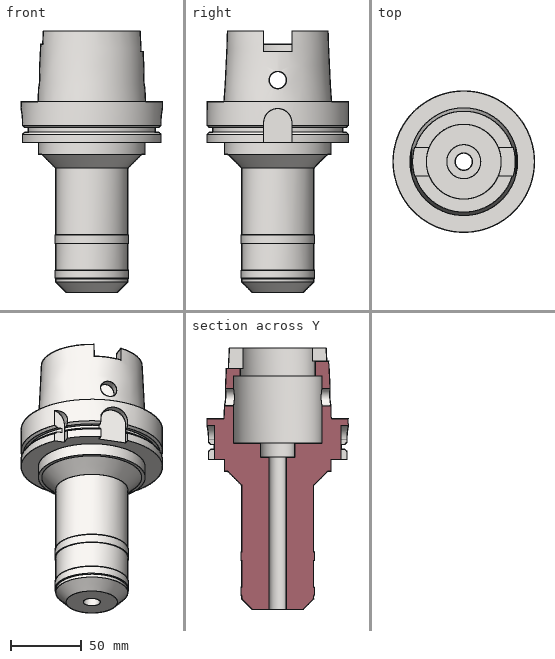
import cadquery as cq

TOTAL_HEIGHT = 185.0
FLANGE_TOP = 135.0
FLANGE_BOTTOM = 106.0
COLLAR_BOTTOM = 97.7

TAPER_TOP_RADIUS = 35.7
TAPER_BASE_RADIUS = 38.1
SHALLOW_SLOT_DEPTH = 9.5
DEEP_SLOT_DEPTH = 14.5
KEY_WIDTH = 20.0

FLANGE_RADIUS = 50.05
GROOVE_RADIUS = 46.0
GROOVE_TOP = FLANGE_TOP - 16.8
GROOVE_BOTTOM = FLANGE_TOP - 23.3
GROOVE_FLAT_TOP = FLANGE_TOP - 18.5
GROOVE_FLAT_BOTTOM = FLANGE_TOP - 21.6

KEYWAY_ARC_RADIUS = KEY_WIDTH / 2
KEYWAY_TOP = FLANGE_TOP - 5.0
KEYWAY_FLOOR_X = 44.8
NOTCH_FLOOR_X = 31.8
NOTCH_INNER_Y = 31.5

COLLAR_RADIUS = 37.7
SHOULDER_RADIUS = 35.3
BODY_RADIUS = 25.5
RING_HEIGHT = 0.5
RING_SPANS = [(34.6, 41.0, False), (9.6, 16.1, True)]
NOSE_HEIGHT = 7.4
NOSE_RADIUS = BODY_RADIUS - NOSE_HEIGHT

SOCKET_RADIUS = 26.5
SOCKET_LIP_DEPTH = 20.0
UNDERCUT_RADIUS = 31.3
SOCKET_FLOOR = 117.7
COUNTERBORE_RADIUS = 12.0
COUNTERBORE_DEPTH = 10.0
THROUGH_RADIUS = 6.01
CROSS_HOLE_Z = 150.2


def revolve(points):
    """Revolve a closed (radius, height) outline about Z."""
    return cq.Workplane("XZ").polyline(points).close().revolve(360, (0, 0, 0), (0, 1, 0))


def make_body():
    shoulder_bottom = COLLAR_BOTTOM - (SHOULDER_RADIUS - BODY_RADIUS)
    return revolve([
        (0, 0),
        (NOSE_RADIUS, 0),
        (BODY_RADIUS, NOSE_HEIGHT),
        (BODY_RADIUS, shoulder_bottom),
        (SHOULDER_RADIUS, COLLAR_BOTTOM),
        (COLLAR_RADIUS, COLLAR_BOTTOM),
        (COLLAR_RADIUS, FLANGE_BOTTOM),
        (FLANGE_RADIUS, FLANGE_BOTTOM),
        (FLANGE_RADIUS, GROOVE_BOTTOM),
        (FLANGE_RADIUS - (GROOVE_FLAT_BOTTOM - GROOVE_BOTTOM), GROOVE_FLAT_BOTTOM),
        (GROOVE_RADIUS, GROOVE_FLAT_BOTTOM),
        (GROOVE_RADIUS, GROOVE_FLAT_TOP),
        (FLANGE_RADIUS - (GROOVE_TOP - GROOVE_FLAT_TOP), GROOVE_FLAT_TOP),
        (FLANGE_RADIUS, GROOVE_TOP),
        (FLANGE_RADIUS, FLANGE_TOP),
        (TAPER_BASE_RADIUS, FLANGE_TOP),
        (TAPER_TOP_RADIUS, TOTAL_HEIGHT),
        (0, TOTAL_HEIGHT),
    ])


def make_guide_ring(bottom, top, chamfer_bottom):
    """Slightly raised band with a 45 degree upper edge."""
    outer = BODY_RADIUS + RING_HEIGHT
    lower_edge = bottom + RING_HEIGHT if chamfer_bottom else bottom
    points = [(0, bottom), (BODY_RADIUS, bottom)]
    points += [(outer, lower_edge), (outer, top - RING_HEIGHT)]
    points += [(BODY_RADIUS, top), (0, top)]
    return revolve(points)


def make_bores():
    lip_z = TOTAL_HEIGHT - SOCKET_LIP_DEPTH
    counterbore_floor = SOCKET_FLOOR - COUNTERBORE_DEPTH
    return revolve([
        (0, 0),
        (THROUGH_RADIUS, 0),
        (THROUGH_RADIUS, counterbore_floor),
        (COUNTERBORE_RADIUS, counterbore_floor),
        (COUNTERBORE_RADIUS, SOCKET_FLOOR),
        (UNDERCUT_RADIUS, SOCKET_FLOOR),
        (UNDERCUT_RADIUS, lip_z),
        (SOCKET_RADIUS, lip_z),
        (SOCKET_RADIUS, TOTAL_HEIGHT),
        (0, TOTAL_HEIGHT),
    ])


def make_keyway(center_y, floor_x, side):
    """Round-topped slot cut in from the -X (side = -1) or +X (side = 1) edge of the flange."""
    arc_z = KEYWAY_TOP - KEYWAY_ARC_RADIUS
    return (
        cq.Workplane("YZ", origin=(side * floor_x, center_y, 0))
        .moveTo(-KEYWAY_ARC_RADIUS, FLANGE_BOTTOM)
        .lineTo(KEYWAY_ARC_RADIUS, FLANGE_BOTTOM)
        .lineTo(KEYWAY_ARC_RADIUS, arc_z)
        .threePointArc((0, KEYWAY_TOP), (-KEYWAY_ARC_RADIUS, arc_z))
        .close()
        .extrude(side * FLANGE_RADIUS)
    )


result = make_body()
for ring_bottom, ring_top, chamfer_bottom in RING_SPANS:
    result = result.union(make_guide_ring(ring_bottom, ring_top, chamfer_bottom))
result = result.cut(make_bores())

for side, depth in ((-1, SHALLOW_SLOT_DEPTH), (1, DEEP_SLOT_DEPTH)):
    drive_slot = cq.Workplane("XY").box(FLANGE_RADIUS, KEY_WIDTH, 2 * depth)
    result = result.cut(drive_slot.translate((side * FLANGE_RADIUS / 2, 0, TOTAL_HEIGHT)))

cross_hole = (
    cq.Workplane("YZ", origin=(0, 0, CROSS_HOLE_Z))
    .circle(THROUGH_RADIUS)
    .extrude(FLANGE_RADIUS, both=True)
)
result = result.cut(cross_hole)

for side in (-1, 1):
    result = result.cut(make_keyway(0, KEYWAY_FLOOR_X, side))
result = result.cut(make_keyway(NOTCH_INNER_Y + KEYWAY_ARC_RADIUS, NOTCH_FLOOR_X, -1))